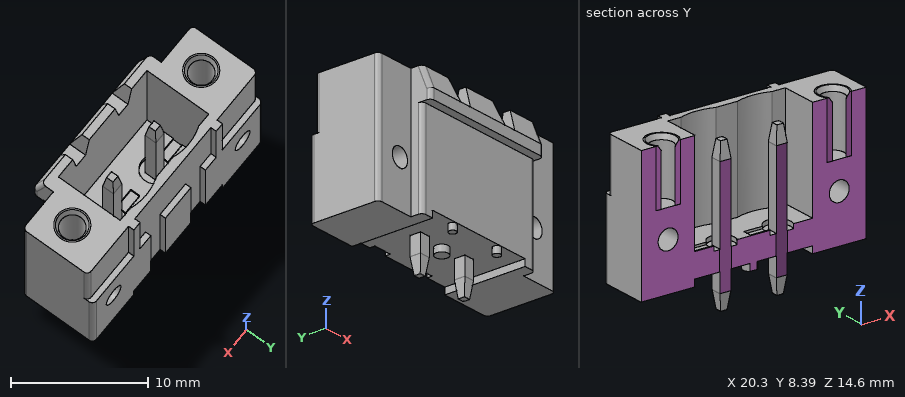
import cadquery as cq


LENGTH = 20.32
HEIGHT = 12.0
BACK = 4.1
UPPER_BACK = 3.62
UPPER_BACK_Z = 7.17
WING_FRONT = -2.4
BODY_FRONT = -3.5
BODY_WIDTH = 12.95
CORNER_RADIUS = 0.39

LIP_FRONT = -4.29
LIP_BOTTOM = 9.0
LIP_SLOPE_BOTTOM = 9.98

RIB_WIDTH = 0.75
BACK_NOTCH_X = 2.4
BACK_NOTCH_WIDTH = 1.75

CAVITY_WIDTH = 10.6
CAVITY_FRONT = -2.82
CAVITY_BACK = 2.85
CAVITY_FLOOR = 2.85
BULGE_WIDTH = 3.13
BULGE_DEPTH = 0.28

FRONT_NOTCH_OFFSET = 0.06
FRONT_NOTCH_TOP = 2.0
FRONT_NOTCH_BOTTOM = 1.1

PIN_PITCH = 5.08
PIN_XS = (-PIN_PITCH / 2, PIN_PITCH / 2)
PIN_WIDTH = 1.0
PIN_TIP_WIDTH = 0.59
PIN_TAPER = 1.52
PIN_TOP = 10.9
PIN_BOTTOM = -2.6

PIN_RECESS_DIAMETER = 2.3
PIN_RECESS_DEPTH = 0.4
KEY_SLOT_REACH = 2.76
KEY_SLOT_WIDTH = 0.81
KEY_SLOT_DEPTH = 0.2

CHANNEL_HEIGHT = 0.63
SMALL_POST_DIAMETER = 0.7
SMALL_POST_Y = -3.1
CENTRE_POST_DIAMETER = 1.2

INSERT_X = 7.72
INSERT_XS = (-INSERT_X, INSERT_X)
INSERT_Y = 0.3
INSERT_DIAMETER = 2.7
INSERT_BORE = 2.01
INSERT_MOUTH = 2.45
INSERT_MOUTH_DEPTH = 0.45
INSERT_LENGTH = 5.08
CROSS_HOLE_DIAMETER = 1.75
CROSS_HOLE_Z = 4.37


def block(x_min, x_max, y_min, y_max, z_min, z_max):
    """Axis-aligned box between the given limits."""
    size = (x_max - x_min, y_max - y_min, z_max - z_min)
    return cq.Workplane("XY").box(*size, centered=False).translate((x_min, y_min, z_min))


def wide_block(width, y_min, y_max, z_min, z_max):
    """Box centred on X = 0."""
    return block(-width / 2, width / 2, y_min, y_max, z_min, z_max)


def cylinder(diameter, x, y, z_min, z_max):
    """Vertical cylinder."""
    circle = cq.Workplane("XY", origin=(x, y, z_min)).circle(diameter / 2)
    return circle.extrude(z_max - z_min)


def wings():
    """Full-length block, stepped at the back, with rounded upright corners."""
    lower = wide_block(LENGTH, WING_FRONT, BACK, 0, UPPER_BACK_Z)
    upper = wide_block(LENGTH, WING_FRONT, UPPER_BACK, UPPER_BACK_Z, HEIGHT)
    lower = lower.edges("|Z").fillet(CORNER_RADIUS)
    upper = upper.edges("|Z").fillet(CORNER_RADIUS)
    return lower.union(upper)


def front_body():
    """Projecting middle section whose top carries the sloped latching lip."""
    profile = [
        (CAVITY_BACK, 0),
        (BODY_FRONT, 0),
        (BODY_FRONT, LIP_BOTTOM),
        (LIP_FRONT, LIP_BOTTOM),
        (LIP_FRONT, LIP_SLOPE_BOTTOM),
        (BODY_FRONT, HEIGHT),
        (CAVITY_BACK, HEIGHT),
    ]
    body = cq.Workplane("YZ").polyline(profile).close().extrude(BODY_WIDTH / 2, both=True)
    front_corners = body.faces("<X or >X").edges("(not #Z) and (not >Y)")
    return front_corners.fillet(CORNER_RADIUS)


def rear_rib(side):
    """Upright rib that carries the lower rear face up to the top."""
    outer = side * CAVITY_WIDTH / 2
    inner = outer - side * RIB_WIDTH
    return block(min(outer, inner), max(outer, inner), UPPER_BACK, BACK, UPPER_BACK_Z, HEIGHT)


def rear_notch(x):
    """Upright notch through the lower rear step."""
    half = BACK_NOTCH_WIDTH / 2
    return block(x - half, x + half, UPPER_BACK, BACK, 0, UPPER_BACK_Z)


def cavity():
    """Plug cavity with a shallow round bulge in its back wall behind each pin."""
    left, right = -CAVITY_WIDTH / 2, CAVITY_WIDTH / 2
    outline = cq.Workplane("XY", origin=(0, 0, CAVITY_FLOOR))
    outline = outline.moveTo(left, CAVITY_FRONT).lineTo(left, CAVITY_BACK)
    for x in PIN_XS:
        bulge_apex = (x, CAVITY_BACK + BULGE_DEPTH)
        bulge_end = (x + BULGE_WIDTH / 2, CAVITY_BACK)
        outline = outline.lineTo(x - BULGE_WIDTH / 2, CAVITY_BACK)
        outline = outline.threePointArc(bulge_apex, bulge_end)
    outline = outline.lineTo(right, CAVITY_BACK).lineTo(right, CAVITY_FRONT).close()
    return outline.extrude(HEIGHT - CAVITY_FLOOR)


def front_notch(pin_x):
    """Tapered notch from the lip's front to the cavity."""
    x = pin_x + FRONT_NOTCH_OFFSET
    profile = [
        (x - FRONT_NOTCH_BOTTOM / 2, LIP_SLOPE_BOTTOM),
        (x + FRONT_NOTCH_BOTTOM / 2, LIP_SLOPE_BOTTOM),
        (x + FRONT_NOTCH_TOP / 2, HEIGHT),
        (x - FRONT_NOTCH_TOP / 2, HEIGHT),
    ]
    sketch = cq.Workplane("XZ", origin=(0, CAVITY_FRONT, 0)).polyline(profile).close()
    return sketch.extrude(CAVITY_FRONT - LIP_FRONT)


def floor_recess(pin_x):
    """Round recess around a pin, with a shallower slot running from it toward -X."""
    round_part = cylinder(PIN_RECESS_DIAMETER, pin_x, 0, CAVITY_FLOOR - PIN_RECESS_DEPTH, CAVITY_FLOOR)
    half = KEY_SLOT_WIDTH / 2
    slot = block(pin_x - KEY_SLOT_REACH, pin_x, -half, half, CAVITY_FLOOR - KEY_SLOT_DEPTH, CAVITY_FLOOR)
    return round_part.union(slot)


def pin_hole(x):
    """Square hole through the housing floor that fits a pin's shank."""
    half = PIN_WIDTH / 2
    return block(x - half, x + half, -half, half, 0, CAVITY_FLOOR)


def cross_hole(x):
    """Round hole through a wing from front to back."""
    circle = cq.Workplane("XZ", origin=(x, BACK, CROSS_HOLE_Z)).circle(CROSS_HOLE_DIAMETER / 2)
    return circle.extrude(BACK - WING_FRONT)


def make_housing():
    """Header housing with its cavity, underside posts, and seats for the pins and inserts."""
    housing = wings().union(front_body())
    for side in (-1, 1):
        housing = housing.union(rear_rib(side))
        housing = housing.cut(rear_notch(side * BACK_NOTCH_X))
    housing = housing.cut(cavity())
    housing = housing.cut(wide_block(CAVITY_WIDTH, BODY_FRONT, BACK, 0, CHANNEL_HEIGHT))
    housing = housing.union(cylinder(CENTRE_POST_DIAMETER, 0, 0, 0, CHANNEL_HEIGHT))
    for x in PIN_XS:
        housing = housing.union(cylinder(SMALL_POST_DIAMETER, x, SMALL_POST_Y, 0, CHANNEL_HEIGHT))
        housing = housing.cut(front_notch(x))
        housing = housing.cut(floor_recess(x))
        housing = housing.cut(pin_hole(x))
    for x in INSERT_XS:
        housing = housing.cut(cross_hole(x))
        housing = housing.cut(cylinder(INSERT_DIAMETER, x, INSERT_Y, HEIGHT - INSERT_LENGTH, HEIGHT))
    return housing


def make_pin(x):
    """Square pin tapered at both ends."""
    shank_bottom = PIN_BOTTOM + PIN_TAPER
    shank_top = PIN_TOP - PIN_TAPER
    shank = cq.Workplane("XY", origin=(x, 0, shank_bottom)).rect(PIN_WIDTH, PIN_WIDTH)
    pin = shank.extrude(shank_top - shank_bottom)
    for root_z, direction in ((shank_bottom, -1), (shank_top, 1)):
        tip = (
            cq.Workplane("XY", origin=(x, 0, root_z))
            .rect(PIN_WIDTH, PIN_WIDTH)
            .workplane(offset=direction * PIN_TAPER)
            .rect(PIN_TIP_WIDTH, PIN_TIP_WIDTH)
            .loft(ruled=True)
        )
        pin = pin.union(tip)
    return pin


def make_insert(x):
    """Round sleeve with a conical mouth, flush with the top of a wing."""
    bore_radius = INSERT_BORE / 2
    outer_radius = INSERT_DIAMETER / 2
    profile = [
        (bore_radius, -INSERT_LENGTH),
        (outer_radius, -INSERT_LENGTH),
        (outer_radius, 0),
        (INSERT_MOUTH / 2, 0),
        (bore_radius, -INSERT_MOUTH_DEPTH),
    ]
    sleeve = cq.Workplane("XZ").polyline(profile).close().revolve(360, (0, 0, 0), (0, 1, 0))
    return sleeve.translate((x, INSERT_Y, HEIGHT))


housing = make_housing()
pins = [make_pin(x) for x in PIN_XS]
inserts = [make_insert(x) for x in INSERT_XS]

result = cq.Compound.makeCompound([body.val() for body in [housing, *pins, *inserts]])